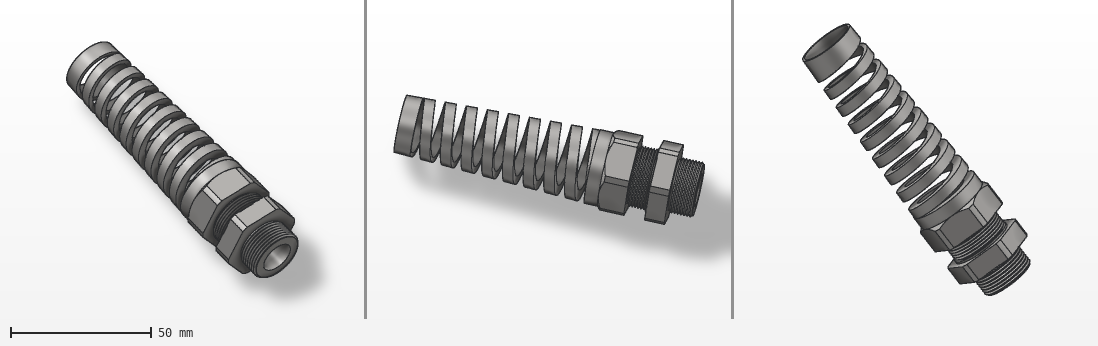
import cadquery as cq
import math


FULL_TURN = 360

COLLAR_LENGTH = 6.0
SPRING_END = 70.2
TIP_RADIUS = 10.5
SPRING_ROOT_RADIUS = 13.3
TIP_BORE_RADIUS = 9.6
SPRING_BORE_RADIUS = 9.2
SLOT_PITCH = 7.6
SLOT_WIDTH = 3.7
CUT_MARGIN = 1.1
SLOT_FIRST_CENTRE = 2.2

HEX_FLATS = 26.9
HEX_CORNER_RADIUS = 14.9

RING_END = 75.1
CHAMFER_LENGTH = 1.3
NUT_END = 85.1
SOCKET_START = 76.3
NUT_BORE_RADIUS = 8.8

BORE_RADIUS = 6.0
BODY_HEX_START = 92.7
BODY_HEX_END = 99.9
BODY_END = 109.0
COLLAR_START = 92.0
COLLAR_RADIUS = 11.3

NUT_THREAD_ROOT = 10.1
NUT_THREAD_CREST = 11.0
NUT_THREAD_FIRST = 86.1
NUT_THREAD_LAST = 91.3
NUT_THREAD_RIDGES = 6
END_THREAD_ROOT = 9.4
END_THREAD_CREST = 10.0
END_THREAD_FIRST = 101.2
END_THREAD_LAST = 108.1
END_THREAD_RIDGES = 7


def turned(points):
    """Revolve a closed outline of (x, radius) points about the X axis."""
    return cq.Workplane("XZ").polyline(points).close().revolve(FULL_TURN, (0, 0, 0), (1, 0, 0))


def hexagon(start, end):
    """Hexagonal prism with flats facing +Z and -Z and its corners turned down round."""
    length = end - start
    prism = (
        cq.Workplane("YZ", origin=(start, 0, 0))
        .polygon(6, HEX_FLATS / math.cos(math.pi / 6))
        .extrude(length)
    )
    round_bar = cq.Workplane("YZ", origin=(start, 0, 0)).circle(HEX_CORNER_RADIUS).extrude(length)
    return prism.intersect(round_bar)


def ridges(first_crest, last_crest, count, root, crest):
    """Outline points of a row of V-shaped ridges, from the first valley to the last."""
    pitch = (last_crest - first_crest) / (count - 1)
    points = [(first_crest - pitch / 2, root)]
    for i in range(count):
        peak = first_crest + i * pitch
        points.append((peak, crest))
        points.append((peak + pitch / 2, root))
    return points


def helical_slot():
    """Slot that winds about the X axis, limited to the spring between the collar and the ring."""
    inner = SPRING_BORE_RADIUS - CUT_MARGIN
    outer = SPRING_ROOT_RADIUS + CUT_MARGIN
    turns = math.ceil((SPRING_END - SLOT_FIRST_CENTRE) / SLOT_PITCH) + 1
    path = cq.Wire.makeHelix(SLOT_PITCH, turns * SLOT_PITCH, inner)
    slot = (
        cq.Workplane("XZ")
        .center((inner + outer) / 2, 0)
        .rect(outer - inner, SLOT_WIDTH)
        .sweep(cq.Workplane(path), isFrenet=True)
        .rotate((0, 0, 0), (0, 1, 0), 90)
        .translate((SLOT_FIRST_CENTRE, 0, 0))
    )
    limits = (
        cq.Workplane("YZ", origin=(COLLAR_LENGTH, 0, 0))
        .circle(2 * outer)
        .extrude(SPRING_END - COLLAR_LENGTH)
    )
    return slot.intersect(limits)


def make_cap_nut():
    """Cap nut whose outer end is a tapered sleeve cut into a spring."""
    ring_radius = HEX_FLATS / 2
    chamfer_end = RING_END + CHAMFER_LENGTH
    blank = turned([
        (0, 0),
        (0, TIP_RADIUS),
        (SPRING_END, SPRING_ROOT_RADIUS),
        (SPRING_END, ring_radius),
        (RING_END, ring_radius),
        (RING_END, 0),
    ])
    chamfered_bar = turned([
        (RING_END, 0),
        (RING_END, ring_radius),
        (chamfer_end, HEX_CORNER_RADIUS),
        (NUT_END, HEX_CORNER_RADIUS),
        (NUT_END, 0),
    ])
    bore = turned([
        (0, 0),
        (0, TIP_BORE_RADIUS),
        (COLLAR_LENGTH, SPRING_BORE_RADIUS),
        (SPRING_END, SPRING_BORE_RADIUS),
        (SPRING_END, NUT_BORE_RADIUS),
        (SOCKET_START, NUT_BORE_RADIUS),
        (SOCKET_START, NUT_THREAD_ROOT),
        (NUT_END, NUT_THREAD_ROOT),
        (NUT_END, 0),
    ])
    head = hexagon(RING_END, NUT_END).intersect(chamfered_bar)
    return blank.union(head).cut(bore).cut(helical_slot())


def make_gland_body():
    """Hollow gland body: a plain spigot in the cap nut, a hexagon and two grooved threads."""
    nut_thread = ridges(
        NUT_THREAD_FIRST, NUT_THREAD_LAST, NUT_THREAD_RIDGES, NUT_THREAD_ROOT, NUT_THREAD_CREST
    )
    end_thread = ridges(
        END_THREAD_FIRST, END_THREAD_LAST, END_THREAD_RIDGES, END_THREAD_ROOT, END_THREAD_CREST
    )
    tube = turned([
        (SOCKET_START, BORE_RADIUS),
        (SOCKET_START, NUT_THREAD_ROOT),
        *nut_thread,
        (COLLAR_START, NUT_THREAD_ROOT),
        (COLLAR_START, COLLAR_RADIUS),
        (BODY_HEX_START, COLLAR_RADIUS),
        (BODY_HEX_START, END_THREAD_ROOT),
        *end_thread,
        (BODY_END, END_THREAD_ROOT),
        (BODY_END, BORE_RADIUS),
    ])
    bore = cq.Workplane("YZ").circle(BORE_RADIUS).extrude(BODY_END)
    return tube.union(hexagon(BODY_HEX_START, BODY_HEX_END).cut(bore))


cap_nut = make_cap_nut()
gland_body = make_gland_body()

result = cq.Compound.makeCompound([cap_nut.val(), gland_body.val()])